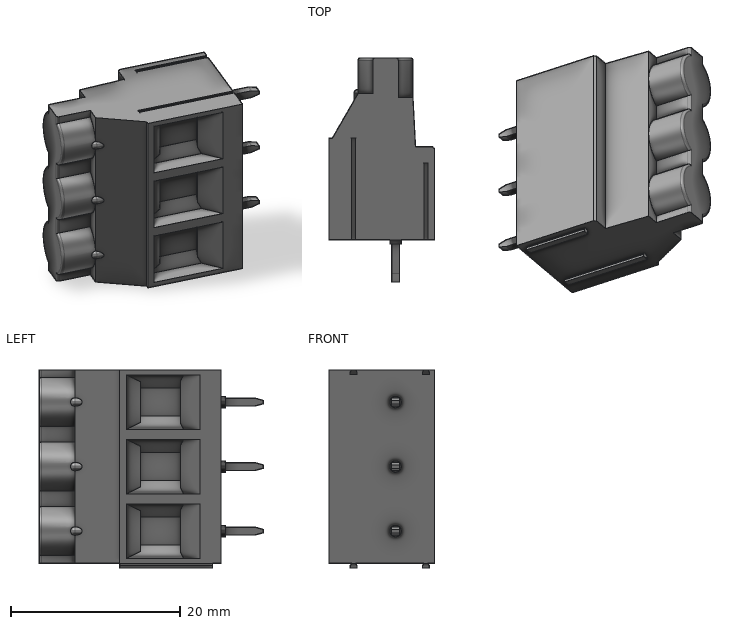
import cadquery as cq
import math


pole_count = 3
pitch = 7.62
housing_height = pole_count * pitch
overall_height = 23.43
pole_heights = [(i + 0.5) * pitch for i in range(pole_count)]

housing_width = 12.5
wire_face_x = -7.88
back_face_x = wire_face_x + housing_width
screw_face_y = 21.5
wire_shoulder_y = 12.0
wire_shoulder_width = 0.4
slope_angle = 60
neck_left_x = -2.68
neck_left_y = 17.28
neck_right_x = 0.32
neck_right_y = 16.8
upper_back_x = 2.07
lower_back_x = 2.37
back_shoulder_y = 11.0
back_chamfer = 0.27
screw_face_fillet = 0.3

tower_x = -1.19
tower_radius = 3.25
tower_base_y = 16.0

post_radius = 0.5
post_x = -4.43
post_base_y = 15.5

mouth_height = 6.45
mouth_top_y = 11.2
mouth_bottom_y = 2.48
mouth_depth = 2.0
floor_height = 3.32
floor_top_y = 9.53
floor_bottom_y = 4.77
pocket_depth = 2.8
top_ledge_depth = 2.42
bottom_ledge_depth = 2.35

dovetail_root_width = 0.46
dovetail_width = 0.82
dovetail_depth = overall_height - housing_height
dovetail_flank_depth = 0.28
rib_start_y = 1.0
dovetails = [(-4.96, wire_shoulder_y), (3.58, 9.05)]

pin_width = 0.95
pin_length = 5.0
pin_tip_length = 1.0
pin_tip_height = 0.4
collar_diameter = 1.36
collar_length = 0.5


def make_housing():
    slope_start_x = wire_face_x + wire_shoulder_width
    slope_end_x = slope_start_x + (neck_left_y - wire_shoulder_y) / math.tan(math.radians(slope_angle))
    outline = [
        (wire_face_x, 0),
        (wire_face_x, wire_shoulder_y),
        (slope_start_x, wire_shoulder_y),
        (slope_end_x, neck_left_y),
        (neck_left_x, neck_left_y),
        (neck_left_x, screw_face_y),
        (neck_right_x, screw_face_y),
        (neck_right_x, neck_right_y),
        (upper_back_x, neck_right_y),
        (lower_back_x, back_shoulder_y),
        (back_face_x - back_chamfer, back_shoulder_y),
        (back_face_x, back_shoulder_y - back_chamfer),
        (back_face_x, 0),
    ]
    return cq.Workplane("XY").polyline(outline).close().extrude(housing_height)


def rod_along_y(x, z, radius, start_y, end_y):
    base = cq.Plane(origin=(x, start_y, z), xDir=(1, 0, 0), normal=(0, 1, 0))
    return cq.Workplane(base).circle(radius).extrude(end_y - start_y)


def make_tower(z):
    return rod_along_y(tower_x, z, tower_radius, tower_base_y, screw_face_y)


def make_post(z):
    dome = cq.Workplane("XY").sphere(post_radius).translate((post_x, neck_left_y, z))
    return rod_along_y(post_x, z, post_radius, post_base_y, neck_left_y).union(dome)


def make_pocket(z):
    mouth_x = wire_face_x + mouth_depth
    top_ledge_x = wire_face_x + top_ledge_depth
    bottom_ledge_x = wire_face_x + bottom_ledge_depth
    floor_x = wire_face_x + pocket_depth
    side = [
        (wire_face_x, mouth_bottom_y),
        (bottom_ledge_x, floor_bottom_y),
        (floor_x, floor_bottom_y),
        (floor_x, floor_top_y),
        (top_ledge_x, floor_top_y),
        (mouth_x, mouth_top_y),
        (wire_face_x, mouth_top_y),
    ]
    half_mouth = mouth_height / 2
    half_floor = floor_height / 2
    section = [
        (wire_face_x, -half_mouth),
        (mouth_x, -half_mouth),
        (floor_x, -half_floor),
        (floor_x, half_floor),
        (mouth_x, half_mouth),
        (wire_face_x, half_mouth),
    ]
    side_prism = cq.Workplane("XY").polyline(side).close().extrude(half_mouth, both=True)
    section_prism = cq.Workplane("XZ").polyline(section).close().extrude(-wire_shoulder_y)
    return side_prism.intersect(section_prism).translate((0, 0, z))


def make_dovetail(x, top_z, start_y, end_y):
    """Dovetail bar hanging below top_z, narrow at the top."""
    half_root = dovetail_root_width / 2
    half_width = dovetail_width / 2
    section = [
        (x - half_root, top_z),
        (x - half_width, top_z - dovetail_flank_depth),
        (x - half_width, top_z - dovetail_depth),
        (x + half_width, top_z - dovetail_depth),
        (x + half_width, top_z - dovetail_flank_depth),
        (x + half_root, top_z),
    ]
    bar = cq.Workplane("XZ").polyline(section).close().extrude(start_y - end_y)
    return bar.translate((0, start_y, 0))


def make_pin(z):
    half_width = pin_width / 2
    half_tip = pin_tip_height / 2
    profile = [
        (0, -half_width),
        (pin_tip_length - pin_length, -half_width),
        (-pin_length, -half_tip),
        (-pin_length, half_tip),
        (pin_tip_length - pin_length, half_width),
        (0, half_width),
    ]
    blade = cq.Workplane("YZ").polyline(profile).close().extrude(half_width, both=True)
    collar = rod_along_y(0, 0, collar_diameter / 2, -collar_length, 0)
    return blade.union(collar).translate((0, 0, z))


result = make_housing()
for pole_z in pole_heights:
    result = result.union(make_tower(pole_z))

result = result.faces(">Y").edges("not(|X)").fillet(screw_face_fillet)

for pole_z in pole_heights:
    result = result.union(make_post(pole_z))
    result = result.cut(make_pocket(pole_z))
    result = result.union(make_pin(pole_z))

for dovetail_x, dovetail_end_y in dovetails:
    result = result.cut(make_dovetail(dovetail_x, housing_height, 0, dovetail_end_y))
    result = result.union(make_dovetail(dovetail_x, 0, rib_start_y, dovetail_end_y))